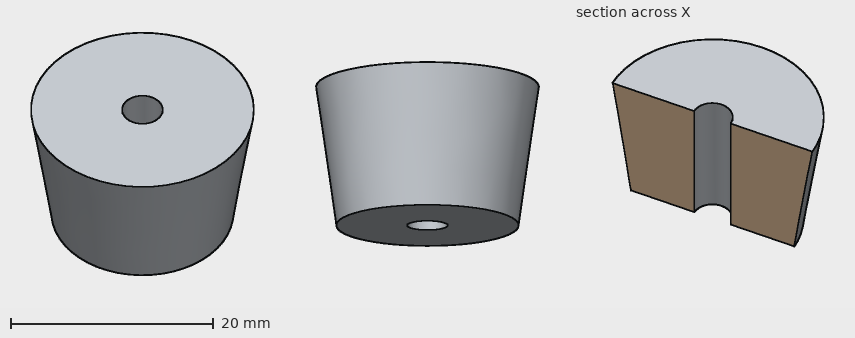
import cadquery as cq

top_diameter = 22.0
bottom_diameter = 18.0
height = 14.0
bore_diameter = 4.0

top_radius = top_diameter / 2
bottom_radius = bottom_diameter / 2
bore_radius = bore_diameter / 2

half_section = (
    cq.Workplane("XZ")
    .moveTo(bore_radius, 0)
    .lineTo(bottom_radius, 0)
    .lineTo(top_radius, height)
    .lineTo(bore_radius, height)
    .close()
)

result = half_section.revolve(360, (0, 0, 0), (0, 1, 0))